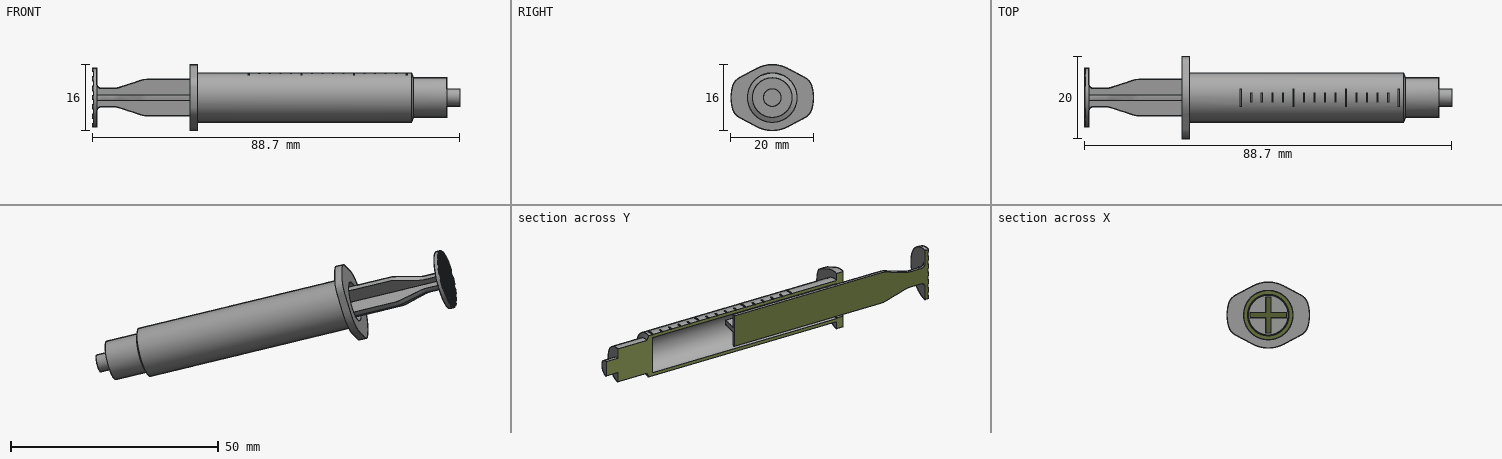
import cadquery as cq
import math

total_length = 88.7
flange_start = 23.5
flange_thickness = 1.9
flange_end = flange_start + flange_thickness
barrel_taper_start = 77.0
barrel_taper_length = 0.49
collar_end = 85.5
collar_start = barrel_taper_start + barrel_taper_length

barrel_diameter = 12.0
barrel_radius = barrel_diameter / 2
collar_radius = 4.8
nozzle_radius = 2.1
bore_radius = 5.0
mouth_radius = 4.8

flange_width = 20.0
flange_half_width = flange_width / 2
flange_half_height = 8.0
flange_corner_radius = 3.55
flange_slope_angle = math.radians(28)

zero_mark_x = 75.85
marks_per_unit = 5
units_marked = 3
scale_length = 38.15
mark_spacing = scale_length / (units_marked * marks_per_unit)
mark_width = 0.3
mark_depth = 0.1
long_mark_length = 4.3
short_mark_length = 2.1

bore_end = zero_mark_x

thumb_radius = 7.1
thumb_thickness = 1.1
groove_pitch = 2.3
first_groove_offset = 1.1
groove_width = 1.15
groove_depth = 0.2
groove_pairs = 3
fin_thickness = 1.3
neck_diameter = 4.5
neck_radius = neck_diameter / 2
stem_radius = 4.4
neck_fillet = 1.1
stem_taper_start = 5.8
stem_taper_end = 12.4
stem_blend_radius = 4.4

stroke = flange_start - thumb_thickness
plunger_end = bore_end - stroke


def revolve_about_axis(profile):
    """Turn a closed XZ profile around the X axis, starting at the top."""
    return profile.revolve(360, (0, 0, 0), (1, 0, 0))


def make_flange():
    """Plate with round top, bottom and sides, joined by sloped edges with round corners."""
    normal_y = math.sin(flange_slope_angle)
    normal_z = math.cos(flange_slope_angle)
    center_height = flange_half_height - flange_corner_radius
    center_reach = flange_half_width - flange_corner_radius
    center_shift = math.sqrt(center_reach**2 - center_height**2)
    corner_y = center_height * normal_y + center_shift * normal_z
    corner_z = center_height * normal_z - center_shift * normal_y
    side_angle = math.atan2(corner_z, corner_y)
    middle_angle = (side_angle + math.pi / 2 - flange_slope_angle) / 2

    top_y = flange_half_height * normal_y
    top_z = flange_half_height * normal_z
    slope_y = corner_y + flange_corner_radius * normal_y
    slope_z = corner_z + flange_corner_radius * normal_z
    middle_y = corner_y + flange_corner_radius * math.cos(middle_angle)
    middle_z = corner_z + flange_corner_radius * math.sin(middle_angle)
    side_y = flange_half_width * math.cos(side_angle)
    side_z = flange_half_width * math.sin(side_angle)

    outline = (
        cq.Workplane("YZ", origin=(flange_start, 0, 0))
        .moveTo(-top_y, top_z)
        .threePointArc((0, flange_half_height), (top_y, top_z))
        .lineTo(slope_y, slope_z)
        .threePointArc((middle_y, middle_z), (side_y, side_z))
        .threePointArc((flange_half_width, 0), (side_y, -side_z))
        .threePointArc((middle_y, -middle_z), (slope_y, -slope_z))
        .lineTo(top_y, -top_z)
        .threePointArc((0, -flange_half_height), (-top_y, -top_z))
        .lineTo(-slope_y, -slope_z)
        .threePointArc((-middle_y, -middle_z), (-side_y, -side_z))
        .threePointArc((-flange_half_width, 0), (-side_y, side_z))
        .threePointArc((-middle_y, middle_z), (-slope_y, slope_z))
        .close()
    )
    return outline.extrude(flange_thickness)


def make_scale_marks():
    """Shallow marks across the top of the barrel, long at every whole unit."""
    floor_radius = barrel_radius - mark_depth
    skin = (
        cq.Workplane("YZ", origin=(zero_mark_x - scale_length - mark_width, 0, 0))
        .circle(barrel_radius + mark_depth)
        .circle(floor_radius)
        .extrude(scale_length + 2 * mark_width)
    )
    bars = cq.Workplane("XY")
    for index in range(units_marked * marks_per_unit + 1):
        is_whole_unit = index % marks_per_unit == 0
        length = long_mark_length if is_whole_unit else short_mark_length
        bar = cq.Workplane("XY").box(
            mark_width, length, 2 * barrel_radius, centered=(True, True, False)
        )
        bars = bars.add(bar.translate((zero_mark_x - index * mark_spacing, 0, 0)))
    return bars.combine().intersect(skin)


def make_barrel():
    """Barrel with flange, tapered shoulder, collar, nozzle and a blind bore with a narrower mouth."""
    body = revolve_about_axis(
        cq.Workplane("XZ")
        .moveTo(flange_start, 0)
        .lineTo(flange_start, barrel_radius)
        .lineTo(barrel_taper_start, barrel_radius)
        .lineTo(collar_start, collar_radius)
        .lineTo(collar_end, collar_radius)
        .lineTo(collar_end, nozzle_radius)
        .lineTo(total_length, nozzle_radius)
        .lineTo(total_length, 0)
        .close()
    )
    mouth = (
        cq.Workplane("YZ", origin=(flange_start, 0, 0))
        .circle(mouth_radius)
        .extrude(flange_thickness)
    )
    bore = (
        cq.Workplane("YZ", origin=(flange_end, 0, 0))
        .circle(bore_radius)
        .extrude(bore_end - flange_end)
    )
    return body.union(make_flange()).cut(mouth).cut(bore).cut(make_scale_marks())


def make_thumb_disc():
    """Disc with ribs across its outer face, left standing between shallow grooves."""
    disc = revolve_about_axis(
        cq.Workplane("XZ").rect(thumb_thickness, thumb_radius, centered=False)
    )
    for pair in range(groove_pairs):
        for side in (-1, 1):
            groove = cq.Workplane("XY").box(2 * groove_depth, 2 * thumb_radius, groove_width)
            offset = side * (first_groove_offset + pair * groove_pitch)
            disc = disc.cut(groove.translate((0, 0, offset)))
    return disc


def make_stem():
    """Cross of two fins, trimmed to a turned outline with a narrow neck."""
    taper_angle = math.atan2(stem_radius - neck_radius, stem_taper_end - stem_taper_start)
    blend_length = stem_blend_radius * math.tan(taper_angle / 2)
    blend_x = blend_length * math.cos(taper_angle)
    blend_z = blend_length * math.sin(taper_angle)

    turned = revolve_about_axis(
        cq.Workplane("XZ")
        .moveTo(thumb_thickness, 0)
        .lineTo(thumb_thickness, neck_radius + neck_fillet)
        .radiusArc((thumb_thickness + neck_fillet, neck_radius), -neck_fillet)
        .lineTo(stem_taper_start - blend_length, neck_radius)
        .radiusArc((stem_taper_start + blend_x, neck_radius + blend_z), -stem_blend_radius)
        .lineTo(stem_taper_end - blend_x, stem_radius - blend_z)
        .radiusArc((stem_taper_end + blend_length, stem_radius), stem_blend_radius)
        .lineTo(plunger_end, stem_radius)
        .lineTo(plunger_end, 0)
        .close()
    )
    cross = (
        cq.Workplane("YZ", origin=(thumb_thickness, 0, 0))
        .rect(2 * thumb_radius, fin_thickness)
        .extrude(plunger_end - thumb_thickness)
    )
    cross = cross.union(cross.rotate((0, 0, 0), (1, 0, 0), 90))
    return cross.intersect(turned)


def make_plunger():
    """Plunger: ribbed thumb disc on a cross-shaped stem."""
    return make_thumb_disc().union(make_stem())


barrel = make_barrel()
plunger = make_plunger()

result = cq.Compound.makeCompound([barrel.val(), plunger.val()])